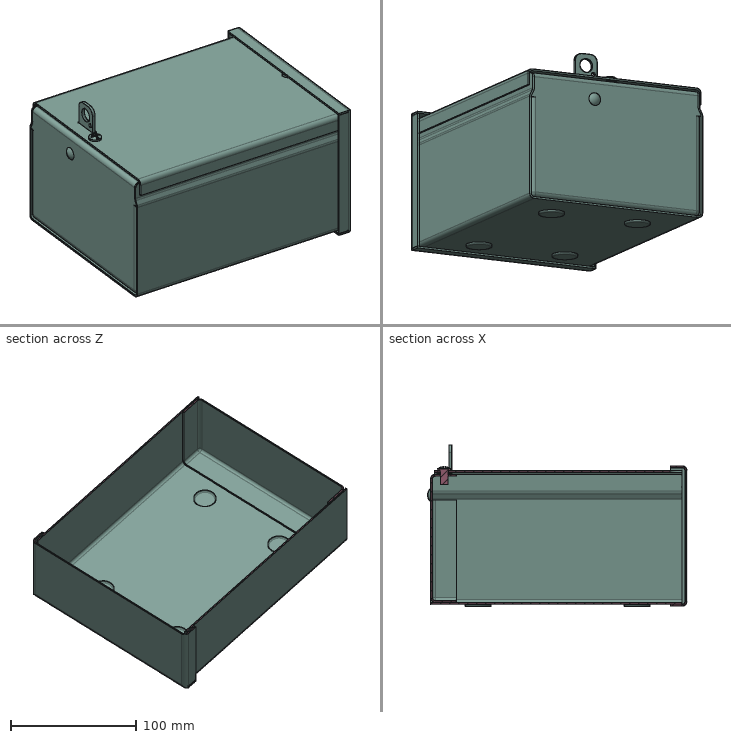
import cadquery as cq
import math


SHEET = 1.5
BEND = 4.0
INNER_BEND = BEND - SHEET

OVERALL_LENGTH = 207.0
RIVET_HEAD_DIAMETER = 10.3
RIVET_HEAD_HEIGHT = 2.3
RIVET_SHANK_DIAMETER = 5.0
RIVET_Z = 89.0
BACK_Y = OVERALL_LENGTH - RIVET_HEAD_HEIGHT

FOOT_DIAMETER = 20.7
FOOT_HEIGHT = 1.9
FOOT_ROUNDING = 0.8
FOOT_HALF_SPACING = 38.5
FOOT_FRONT_Y = 38.0
FOOT_BACK_Y = 165.0

CAP_WIDTH = 160.0
CAP_DEPTH = 13.2
CAP_TOP_Z = 112.4
CAP_BOTTOM_Z = FOOT_HEIGHT - SHEET
CAP_FRONT_Y = BACK_Y - CAP_DEPTH
SEAM = 0.2

CHANNEL_HALF_WIDTH = 77.5
CHANNEL_END_Y = BACK_Y - BEND
CHANNEL_BOTTOM_Z = FOOT_HEIGHT
CHANNEL_TOP_Z = 105.5
STEP_IN = 2.7
STEP_LOW_Z = 86.3
STEP_HIGH_Z = 91.5
STEP_BEND = 3.7
SELECTION_MARGIN = 0.02

LID_FRONT_Y = 3.1
LID_TOP_Z = 108.6
LID_FLANGE_BOTTOM_Z = 95.5
LID_BOTTOM_Z = LID_TOP_Z - SHEET

PLATE_FLANGE_DEPTH = 20.7
SIDE_FLANGE_TOP_Z = 85.0
PLATE_HALF_WIDTH = CHANNEL_HALF_WIDTH - SHEET
PLATE_BOTTOM_Z = CHANNEL_BOTTOM_Z + SHEET

HASP_X = -19.2
HASP_Y = 16.0
HASP_WIDTH = 19.7
HASP_THICKNESS = 2.5
HASP_TOP_Z = 129.1
HASP_CORNER_RADIUS = 6.2
LOCK_HOLE_DIAMETER = 11.2
LOCK_HOLE_Z = 119.6
SEAL_HOLE_DIAMETER = 3.1
SEAL_HOLE_OFFSET = 6.5
SEAL_HOLE_Z = 113.0
HASP_SLOT_X = -18.8
HASP_SLOT_LENGTH = 21.3
HASP_SLOT_WIDTH = 3.7

SCREW_Y = 11.0
SCREW_HEAD_DIAMETER = 10.3
SCREW_RIM_HEIGHT = 1.5
SCREW_HEAD_HEIGHT = 3.1
SCREW_SHANK_DIAMETER = 6.2
SCREW_TIP_Z = 97.3
DRIVE_SLOT_WIDTH = 1.5
DRIVE_SLOT_DEPTH = 1.7
DRIVE_CROSS_LENGTH = 6.6
WASHER_DIAMETER = 11.5
WASHER_THICKNESS = 0.8

LID_HOLE_DIAMETER = 10.3
LID_HOLE_Y = 196.4


def block(half_width, y_start, y_end, z_start, z_end):
    """Box centred on x = 0."""
    return (
        cq.Workplane("XY")
        .box(2 * half_width, y_end - y_start, z_end - z_start, centered=(True, False, False))
        .translate((0, y_start, z_start))
    )


def upright_cylinder(x, y, diameter, z_start, z_end):
    return (
        cq.Workplane("XY", origin=(x, y, z_start))
        .circle(diameter / 2)
        .extrude(z_end - z_start)
    )


def spherical_cap(diameter, height):
    """Dome with its flat base on z = 0, bulging toward +Z."""
    radius = diameter / 2
    sphere_radius = (radius**2 + height**2) / (2 * height)
    half_angle = math.asin(radius / sphere_radius) / 2
    middle = (
        sphere_radius * math.sin(half_angle),
        height - sphere_radius * (1 - math.cos(half_angle)),
    )
    return (
        cq.Workplane("XZ")
        .lineTo(radius, 0)
        .threePointArc(middle, (0, height))
        .close()
        .revolve(360, (0, 0, 0), (0, 1, 0))
    )


def channel_envelope(inset):
    """Solid filling the channel's cross section, shrunk by inset on sides and bottom."""
    half = CHANNEL_HALF_WIDTH - inset
    upper_half = half - STEP_IN
    step_tilt = math.atan(STEP_IN / (STEP_HIGH_Z - STEP_LOW_Z))
    drop = inset * math.tan(step_tilt / 2)
    low = STEP_LOW_Z - drop
    high = STEP_HIGH_Z - drop
    bottom = CHANNEL_BOTTOM_Z + inset
    solid = (
        cq.Workplane("XZ")
        .polyline([
            (-half, bottom),
            (half, bottom),
            (half, low),
            (upper_half, high),
            (upper_half, CHANNEL_TOP_Z),
            (-upper_half, CHANNEL_TOP_Z),
            (-upper_half, high),
            (-half, low),
        ])
        .close()
        .extrude(-CHANNEL_END_Y)
    )

    def bend_edges(z):
        return cq.selectors.BoxSelector(
            (-CAP_WIDTH, 0, z - SELECTION_MARGIN), (CAP_WIDTH, CHANNEL_END_Y, z + SELECTION_MARGIN)
        )

    solid = solid.edges("|Y").edges(bend_edges(bottom)).fillet(BEND - inset)
    solid = solid.edges("|Y").edges(bend_edges(low)).fillet(STEP_BEND - inset)
    return solid.edges("|Y").edges(bend_edges(high)).fillet(STEP_BEND + inset)


def foot_boss(inset):
    """Round boss below the bottom sheet, shrunk by inset for its hollow."""
    return (
        cq.Workplane("XY", origin=(0, 0, inset))
        .circle(FOOT_DIAMETER / 2 - inset)
        .extrude(FOOT_HEIGHT + SHEET - inset)
        .faces("<Z")
        .edges()
        .fillet(FOOT_ROUNDING)
    )


def make_channel():
    channel = channel_envelope(0).cut(channel_envelope(SHEET))
    channel = channel.edges("|X and <Y and >Z").fillet(BEND)
    for x in (-FOOT_HALF_SPACING, FOOT_HALF_SPACING):
        for y in (FOOT_FRONT_Y, FOOT_BACK_Y):
            channel = channel.union(foot_boss(0).translate((x, y, 0)))
            channel = channel.cut(foot_boss(SHEET).translate((x, y, 0)))
    return channel


def plate_envelope(inset):
    """Rounded block of the end plate, shrunk by inset behind its outer faces."""
    radius = BEND - inset
    lower = block(
        PLATE_HALF_WIDTH - inset, inset, PLATE_FLANGE_DEPTH, PLATE_BOTTOM_Z + inset, SIDE_FLANGE_TOP_Z
    )
    lower = lower.edges("(|Z and <Y) or (|X and <Y and <Z) or (|Y and <Z)").fillet(radius)
    upper = block(
        PLATE_HALF_WIDTH, inset, PLATE_FLANGE_DEPTH, SIDE_FLANGE_TOP_Z, CHANNEL_TOP_Z - inset
    )
    upper = upper.edges("|X and <Y and >Z").fillet(radius)
    return lower.union(upper.intersect(channel_envelope(SHEET)))


def make_end_plate():
    plate = plate_envelope(0).cut(plate_envelope(SHEET))
    rivet_hole = (
        cq.Workplane("XZ", origin=(HASP_X, 0, RIVET_Z))
        .circle(RIVET_SHANK_DIAMETER / 2)
        .extrude(-SHEET)
    )
    screw_hole = upright_cylinder(0, SCREW_Y, SCREW_SHANK_DIAMETER, SCREW_TIP_Z, CHANNEL_TOP_Z)
    return plate.cut(rivet_hole).cut(screw_hole)


def make_end_cap():
    half = CAP_WIDTH / 2
    cap = block(half, CAP_FRONT_Y, BACK_Y, CAP_BOTTOM_Z, CAP_TOP_Z)
    cap = cap.faces(">Y").edges().fillet(BEND)
    cavity = block(half - SHEET, CAP_FRONT_Y, BACK_Y - SHEET, CAP_BOTTOM_Z + SHEET, CAP_TOP_Z - SHEET)
    cavity = cavity.faces(">Y").edges().fillet(INNER_BEND)
    cap = cap.cut(cavity)
    for z in (CAP_BOTTOM_Z + SHEET, CAP_TOP_Z - SHEET - SEAM):
        cap = cap.cut(block(half, CAP_FRONT_Y, BACK_Y - BEND, z, z + SEAM))
    return cap


def lid_envelope(inset):
    lid = block(
        CHANNEL_HALF_WIDTH - inset, LID_FRONT_Y, CHANNEL_END_Y, LID_FLANGE_BOTTOM_Z, LID_TOP_Z - inset
    )
    return lid.edges("|Y and >Z").fillet(BEND - inset)


def make_lid():
    lid = lid_envelope(0).cut(lid_envelope(SHEET))
    hasp_slot = (
        cq.Workplane("XY", origin=(HASP_SLOT_X, HASP_Y, LID_BOTTOM_Z))
        .rect(HASP_SLOT_LENGTH, HASP_SLOT_WIDTH)
        .extrude(SHEET)
    )
    screw_hole = upright_cylinder(0, SCREW_Y, SCREW_SHANK_DIAMETER, LID_BOTTOM_Z, LID_TOP_Z)
    rear_hole = upright_cylinder(0, LID_HOLE_Y, LID_HOLE_DIAMETER, LID_BOTTOM_Z, LID_TOP_Z)
    return lid.cut(hasp_slot).cut(screw_hole).cut(rear_hole)


def make_hasp():
    height = HASP_TOP_Z - CHANNEL_TOP_Z
    tab = (
        cq.Workplane("XY", origin=(HASP_X, HASP_Y, CHANNEL_TOP_Z))
        .box(HASP_WIDTH, HASP_THICKNESS, height, centered=(True, True, False))
        .edges("|Y and >Z")
        .fillet(HASP_CORNER_RADIUS)
    )
    for x, z, diameter in (
        (HASP_X, LOCK_HOLE_Z, LOCK_HOLE_DIAMETER),
        (HASP_X + SEAL_HOLE_OFFSET, SEAL_HOLE_Z, SEAL_HOLE_DIAMETER),
    ):
        hole = (
            cq.Workplane("XZ", origin=(x, HASP_Y, z))
            .circle(diameter / 2)
            .extrude(HASP_THICKNESS, both=True)
        )
        tab = tab.cut(hole)
    return tab


def make_rivet():
    head = (
        spherical_cap(RIVET_HEAD_DIAMETER, RIVET_HEAD_HEIGHT)
        .rotate((0, 0, 0), (1, 0, 0), 90)
        .translate((HASP_X, 0, RIVET_Z))
    )
    shank = (
        cq.Workplane("XZ", origin=(HASP_X, 0, RIVET_Z))
        .circle(RIVET_SHANK_DIAMETER / 2)
        .extrude(-SHEET)
    )
    return head.union(shank)


def make_screw():
    rim_top = LID_TOP_Z + SCREW_RIM_HEIGHT
    head_top = LID_TOP_Z + SCREW_HEAD_HEIGHT
    shank = upright_cylinder(0, SCREW_Y, SCREW_SHANK_DIAMETER, SCREW_TIP_Z, LID_TOP_Z)
    rim = upright_cylinder(0, SCREW_Y, SCREW_HEAD_DIAMETER, LID_TOP_Z, rim_top)
    dome = spherical_cap(SCREW_HEAD_DIAMETER, SCREW_HEAD_HEIGHT - SCREW_RIM_HEIGHT)
    screw = shank.union(rim).union(dome.translate((0, SCREW_Y, rim_top)))
    for length, width in (
        (SCREW_HEAD_DIAMETER, DRIVE_SLOT_WIDTH),
        (DRIVE_SLOT_WIDTH, DRIVE_CROSS_LENGTH),
    ):
        drive_slot = (
            cq.Workplane("XY", origin=(0, SCREW_Y, head_top))
            .rect(length, width)
            .extrude(-DRIVE_SLOT_DEPTH)
        )
        screw = screw.cut(drive_slot)
    return screw


def make_washer():
    bottom_z = LID_BOTTOM_Z - WASHER_THICKNESS
    ring = upright_cylinder(0, SCREW_Y, WASHER_DIAMETER, bottom_z, LID_BOTTOM_Z)
    return ring.cut(upright_cylinder(0, SCREW_Y, SCREW_SHANK_DIAMETER, bottom_z, LID_BOTTOM_Z))


channel = make_channel()
end_plate = make_end_plate()
end_cap = make_end_cap()
lid = make_lid()
hasp = make_hasp()
rivet = make_rivet()
screw = make_screw()
washer = make_washer()

bodies = [channel, end_plate, end_cap, lid, hasp, rivet, screw, washer]
result = cq.Compound.makeCompound([body.solids().val() for body in bodies])